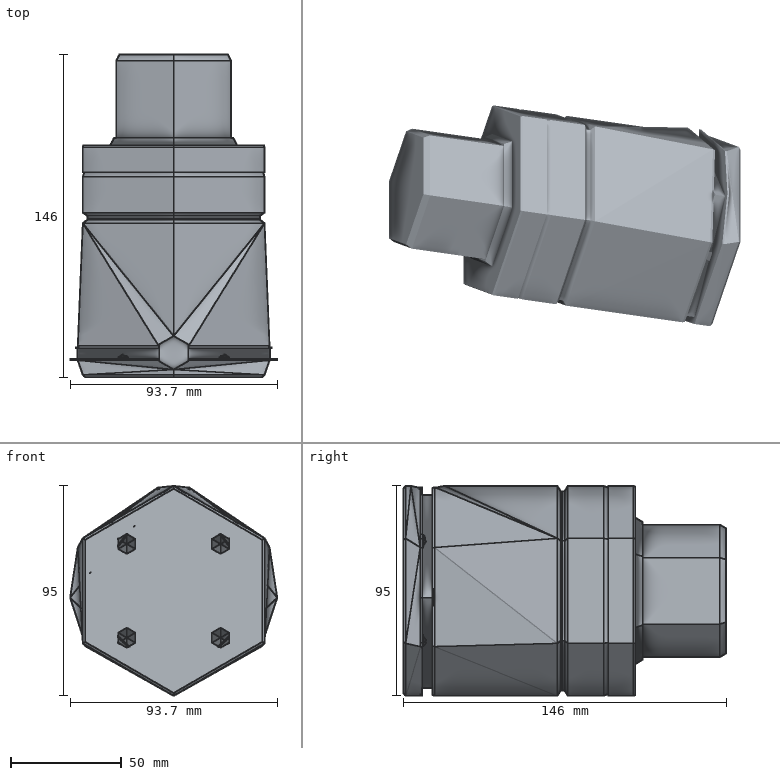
import cadquery as cq
import math


CAP_CHAMFER_Y = 1.1
RIM_FRONT_Y = 7.7
CAP_BACK_Y = 8.5
SLEEVE_FRONT_Y = 13.1
LOCATING_FLANGE_Y = 13.7
SLEEVE_EDGE_Y = 14.2
SLEEVE_BACK_Y = 69.7
GROOVE_SEAM_Y = 72.0
MIDDLE_COLLAR_FRONT_Y = 74.5
MIDDLE_COLLAR_BACK_Y = 90.6
COLLAR_SEAM_Y = 92.7
REAR_COLLAR_CHAMFER_Y = 104.1
REAR_COLLAR_BACK_Y = 105.0
SHOULDER_BACK_Y = 108.3
STEM_CHAMFER_Y = 143.2
LENGTH = 146.0

BODY_RADIUS = 47.5
CAP_FACE_RADIUS = 46.2
GROOVE_RADIUS = 45.1
COLLAR_CHAMFER = 0.8
REAR_EDGE_CHAMFER = 0.4
SHOULDER_BASE_RADIUS = 33.1
SHOULDER_TOP_RADIUS = 31.1
STEM_RADIUS = 30.0
STEM_END_RADIUS = 28.3
GROOVE_WALL = 1.5

FLARE_TOP_X = 6.8
FLARE_TOP_Z = 46.9
FLARE_SIDE_X = 43.4
FLARE_SIDE_Z = 19.6
FLARE_LOWER_X = 39.6
FLARE_LOWER_Z = -25.2
SLEEVE_EDGE_SHRINK = 0.99

CORE_HALF_WIDTH = 43.6
CORE_TOP_X = 6.5
CORE_SIDE_Z = -3.1
CORE_TOP_DROP = 0.2
CORE_BOTTOM_DROP = 0.4
FRONT_FLANGE_HALF_WIDTH = 46.87
REAR_FLANGE_HALF_WIDTH = 44.3

BUTTON_RADIUS = 7.6
BUTTON_Y = 11.1
BUTTON_TOP_Z = 43.4
BUTTON_BOTTOM_Z = 38.0
NOTCH_TOP_Z = BODY_RADIUS + 1.0

HOLE_RADIUS = 4.5
HOLE_OFFSET = 21.2
HOLE_STRAIGHT_DEPTH = 9.0
HOLE_TIP_DEPTH = 11.6


def hexagon_points(radius, y):
    """Corners at y, starting from the top and going towards +X."""
    angles = [math.radians(60 * i) for i in range(6)]
    return [cq.Vector(radius * math.sin(a), y, radius * math.cos(a)) for a in angles]


def closed_wire(points):
    return cq.Wire.makePolygon(points, close=True)


def hexagon_stack(sections):
    """Solid through a row of (y, corner radius) hexagons joined by flat faces."""
    wires = [closed_wire(hexagon_points(radius, y)) for y, radius in sections]
    return cq.Workplane(cq.Solid.makeLoft(wires, True))


def mirrored_outline(right_half, y):
    """Outline in (x, z) from its +X half, listed from top to bottom."""
    left_half = [(-x, z) for x, z in reversed(right_half) if x > 0]
    return [cq.Vector(x, y, z) for x, z in right_half + left_half]


def plate(points, end_y):
    """Extrude an outline along Y from its own plane to end_y."""
    direction = cq.Vector(0, end_y - points[0].y, 0)
    return cq.Workplane(cq.Solid.extrudeLinear(closed_wire(points), [], direction))


def flare_outline(y):
    right_half = [
        (FLARE_TOP_X, FLARE_TOP_Z),
        (FLARE_SIDE_X, FLARE_SIDE_Z),
        (FLARE_LOWER_X, FLARE_LOWER_Z),
        (0, -BODY_RADIUS),
    ]
    return mirrored_outline(right_half, y)


def flare(hexagon_y, outline_y, ridge_y, ridge_meets_side):
    """Faceted transition from a hexagon to the flared outline.

    The top ridge ends at ridge_y. The facets next to it fold either from the end of the ridge to
    the side corner of the outline, or from the corner of the hexagon to the top of the outline.
    """
    hexagon = hexagon_points(BODY_RADIUS, hexagon_y)
    outline = flare_outline(outline_y)
    ridge_end = cq.Vector(0, ridge_y, BODY_RADIUS)
    top, upper_right, lower_right, bottom, lower_left, upper_left = hexagon
    top_right, side_right, low_right, low, low_left, side_left, top_left = outline
    facets = [hexagon, outline, [ridge_end, top_left, top_right]]
    for upper, lower, f_top, f_side, f_low in (
        (upper_right, lower_right, top_right, side_right, low_right),
        (upper_left, lower_left, top_left, side_left, low_left),
    ):
        facets += [
            [top, upper, ridge_end],
            [upper, lower, f_side],
            [lower, f_low, f_side],
            [lower, bottom, f_low],
            [bottom, low, f_low],
        ]
        if ridge_meets_side:
            facets += [[upper, f_side, ridge_end], [f_side, f_top, ridge_end]]
        else:
            facets += [[upper, f_top, ridge_end], [upper, f_side, f_top]]
    faces = [cq.Face.makeFromWires(closed_wire(points)) for points in facets]
    return cq.Workplane(cq.Solid.makeSolid(cq.Shell.makeShell(faces)))


def core_outline(half_width, y):
    right_half = [
        (CORE_TOP_X, half_width - CORE_TOP_DROP),
        (half_width, CORE_SIDE_Z),
        (0, -half_width - CORE_BOTTOM_DROP),
    ]
    return mirrored_outline(right_half, y)


def button_prism(bottom_z, top_z):
    corners = [(p.x, BUTTON_Y + p.z) for p in hexagon_points(BUTTON_RADIUS, 0)]
    outline = cq.Workplane("XY", origin=(0, 0, bottom_z)).polyline(corners).close()
    return outline.extrude(top_z - bottom_z)


def pointed_hole(x, z):
    straight = plate(hexagon_points(HOLE_RADIUS, 0), HOLE_STRAIGHT_DEPTH)
    rim = hexagon_points(HOLE_RADIUS, HOLE_STRAIGHT_DEPTH)
    tip = cq.Vector(0, HOLE_TIP_DEPTH, 0)
    facets = [rim] + [[rim[i - 1], rim[i], tip] for i in range(6)]
    faces = [cq.Face.makeFromWires(closed_wire(points)) for points in facets]
    point = cq.Workplane(cq.Solid.makeSolid(cq.Shell.makeShell(faces)))
    return straight.union(point).translate((x, 0, z))


def cut_holes(body):
    for x in (-HOLE_OFFSET, HOLE_OFFSET):
        for z in (-HOLE_OFFSET, HOLE_OFFSET):
            body = body.cut(pointed_hole(x, z))
    return body


notch = button_prism(BUTTON_BOTTOM_Z, NOTCH_TOP_Z)


def make_core():
    neck = plate(core_outline(CORE_HALF_WIDTH, RIM_FRONT_Y), LOCATING_FLANGE_Y)
    front_flange = plate(core_outline(FRONT_FLANGE_HALF_WIDTH, RIM_FRONT_Y), CAP_BACK_Y)
    rear_flange = plate(core_outline(REAR_FLANGE_HALF_WIDTH, SLEEVE_FRONT_Y), LOCATING_FLANGE_Y)
    return neck.union(front_flange).union(rear_flange)


def make_cap(core):
    face = hexagon_stack([(0, CAP_FACE_RADIUS), (CAP_CHAMFER_Y, BODY_RADIUS)])
    skirt = flare(CAP_CHAMFER_Y, RIM_FRONT_Y, BUTTON_Y - BUTTON_RADIUS, ridge_meets_side=True)
    rim_half = [
        (FLARE_TOP_X, FLARE_TOP_Z),
        (FLARE_SIDE_X, FLARE_SIDE_Z),
        (FRONT_FLANGE_HALF_WIDTH, CORE_SIDE_Z),
        (FLARE_LOWER_X, FLARE_LOWER_Z),
        (0, -BODY_RADIUS),
    ]
    rim = plate(mirrored_outline(rim_half, RIM_FRONT_Y), CAP_BACK_Y)
    return cut_holes(face.union(skirt).union(rim).cut(core).cut(notch))


def make_sleeve(core):
    groove_side = hexagon_stack(
        [
            (SLEEVE_BACK_Y, BODY_RADIUS),
            (SLEEVE_BACK_Y + GROOVE_WALL, GROOVE_RADIUS),
            (GROOVE_SEAM_Y, GROOVE_RADIUS),
        ]
    )
    skirt = flare(SLEEVE_BACK_Y, SLEEVE_EDGE_Y, BUTTON_Y + BUTTON_RADIUS, ridge_meets_side=False)
    edge = flare_outline(SLEEVE_EDGE_Y)
    small_edge = [
        cq.Vector(p.x * SLEEVE_EDGE_SHRINK, SLEEVE_FRONT_Y, p.z * SLEEVE_EDGE_SHRINK) for p in edge
    ]
    bevel = cq.Workplane(cq.Solid.makeLoft([closed_wire(small_edge), closed_wire(edge)], True))
    return groove_side.union(skirt).union(bevel).cut(core).cut(notch)


core_blank = make_core()
cap = make_cap(core_blank)
sleeve = make_sleeve(core_blank)
core = cut_holes(core_blank.cut(notch))
button = button_prism(BUTTON_BOTTOM_Z, BUTTON_TOP_Z)

middle_collar = hexagon_stack(
    [
        (GROOVE_SEAM_Y, GROOVE_RADIUS),
        (MIDDLE_COLLAR_FRONT_Y - GROOVE_WALL, GROOVE_RADIUS),
        (MIDDLE_COLLAR_FRONT_Y, BODY_RADIUS),
        (MIDDLE_COLLAR_BACK_Y, BODY_RADIUS),
        (COLLAR_SEAM_Y, BODY_RADIUS - COLLAR_CHAMFER),
    ]
)

rear_collar = hexagon_stack(
    [
        (COLLAR_SEAM_Y, BODY_RADIUS),
        (REAR_COLLAR_CHAMFER_Y, BODY_RADIUS),
        (REAR_COLLAR_BACK_Y, BODY_RADIUS - REAR_EDGE_CHAMFER),
    ]
)

shoulder = hexagon_stack(
    [
        (REAR_COLLAR_BACK_Y, SHOULDER_BASE_RADIUS),
        (SHOULDER_BACK_Y, SHOULDER_TOP_RADIUS),
    ]
)
shank = hexagon_stack(
    [
        (SHOULDER_BACK_Y, STEM_RADIUS),
        (STEM_CHAMFER_Y, STEM_RADIUS),
        (LENGTH, STEM_END_RADIUS),
    ]
)
stem = shoulder.union(shank)

result = cq.Compound.makeCompound(
    [
        cap.val(),
        core.val(),
        button.val(),
        sleeve.val(),
        middle_collar.val(),
        rear_collar.val(),
        stem.val(),
    ]
)